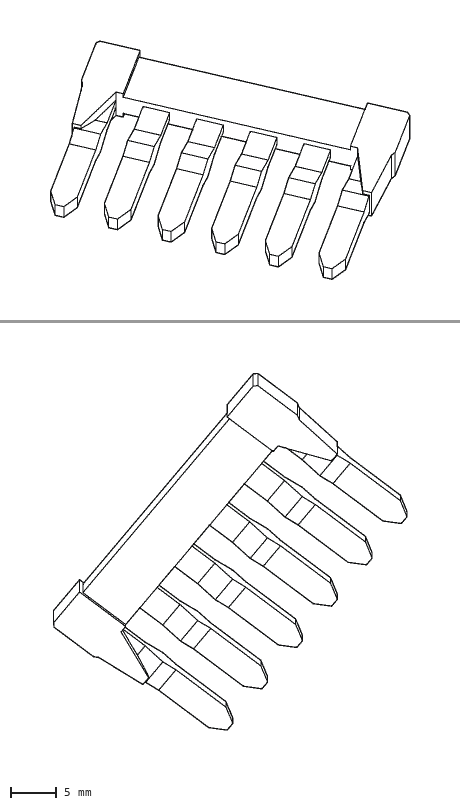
import cadquery as cq

TOTAL_WIDTH = 35.7
TOTAL_DEPTH = 22.78
CAP_HEIGHT = 4.0

BAR_BACK = 0.45
BAR_FRONT = 6.43
BAR_HEIGHT = 2.8

CAP_WIDTH = 4.93
CAP_CORNER_CHAMFER = 0.35
CAP_STEP_START = 5.85
CAP_STEP_END = 6.35
CAP_STEP_INSET = 0.3
CAP_TIP_DEPTH = 12.05
CAP_TIP_INSET = 0.82
CAP_TIP_WIDTH = 1.0

FINGER_COUNT = 6
FINGER_PITCH = 6.1
FINGER_WIDTH = 3.05
FINGER_TIP_WIDTH = 1.0
TAPER_START = 21.03
ROOT_THICKNESS = 1.2
BULGE_THICKNESS = 3.05
BLADE_THICKNESS = 1.82
BULGE_START = 9.78
BULGE_PEAK = 12.25
BULGE_END = 14.05

HALF_WIDTH = TOTAL_WIDTH / 2
FINGER_SPAN = (FINGER_COUNT - 1) * FINGER_PITCH
FINGER_INNER_EDGE = HALF_WIDTH - FINGER_SPAN / 2 + FINGER_WIDTH / 2


def make_bar():
    """Plain bar that reaches into both end caps."""
    length = TOTAL_WIDTH - CAP_WIDTH
    depth = BAR_FRONT - BAR_BACK
    middle = -(BAR_BACK + BAR_FRONT) / 2
    return cq.Workplane("XY").box(length, depth, BAR_HEIGHT).translate((0, middle, 0))


def make_left_cap():
    """Left end cap, with a pointed cheek beside the outermost finger."""
    outline = [
        (CAP_CORNER_CHAMFER, 0),
        (CAP_WIDTH, 0),
        (CAP_WIDTH, BAR_FRONT),
        (FINGER_INNER_EDGE, BAR_FRONT),
        (CAP_TIP_INSET + CAP_TIP_WIDTH, CAP_TIP_DEPTH),
        (CAP_TIP_INSET, CAP_TIP_DEPTH),
        (CAP_STEP_INSET, CAP_STEP_END),
        (0, CAP_STEP_START),
        (0, CAP_CORNER_CHAMFER),
    ]
    points = [(inset - HALF_WIDTH, -depth) for inset, depth in outline]
    return cq.Workplane("XY").polyline(points).close().extrude(CAP_HEIGHT / 2, both=True)


def make_finger():
    """Finger centred on X = 0: side profile trimmed to the tapered plan outline."""
    half_profile = [
        (BAR_FRONT, ROOT_THICKNESS / 2),
        (BULGE_START, ROOT_THICKNESS / 2),
        (BULGE_PEAK, BULGE_THICKNESS / 2),
        (BULGE_END, BLADE_THICKNESS / 2),
        (TOTAL_DEPTH, BLADE_THICKNESS / 2),
    ]
    upper = [(-depth, height) for depth, height in half_profile]
    lower = [(-depth, -height) for depth, height in reversed(half_profile)]
    side = cq.Workplane("YZ").polyline(upper + lower).close().extrude(FINGER_WIDTH / 2, both=True)

    half_plan = [
        (FINGER_WIDTH / 2, -BAR_FRONT),
        (FINGER_WIDTH / 2, -TAPER_START),
        (FINGER_TIP_WIDTH / 2, -TOTAL_DEPTH),
    ]
    mirrored = [(-x, y) for x, y in reversed(half_plan)]
    plan = cq.Workplane("XY").polyline(half_plan + mirrored).close().extrude(CAP_HEIGHT / 2, both=True)
    return side.intersect(plan)


left_cap = make_left_cap()
result = make_bar().union(left_cap).union(left_cap.mirror("YZ"))

finger = make_finger()
for index in range(FINGER_COUNT):
    finger_x = index * FINGER_PITCH - FINGER_SPAN / 2
    result = result.union(finger.translate((finger_x, 0, 0)))